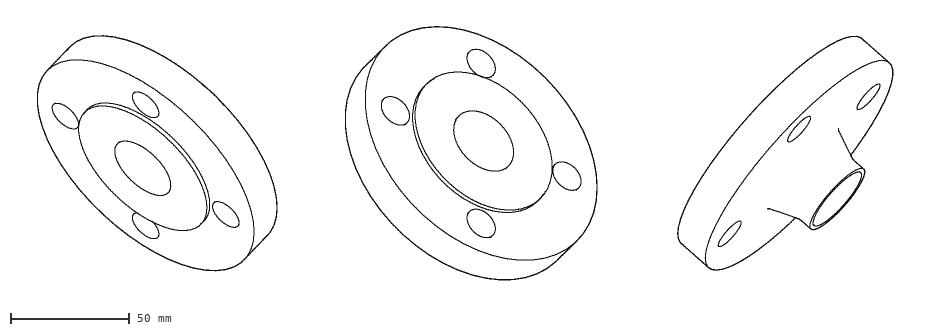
import cadquery as cq
import math

flange_diameter = 115.0
flange_thickness = 16.0
face_diameter = 68.0
face_height = 2.0
total_length = 40.0
bore_diameter = 29.7

hub_base_diameter = 46.0
weld_end_diameter = 33.7
weld_end_length = 6.5
hub_base_fillet = 4.0
hub_top_fillet = 4.0

bolt_circle_diameter = 85.0
bolt_hole_diameter = 14.0
bolt_hole_count = 4

flange_back = face_height + flange_thickness
hub_top = total_length - weld_end_length


def edges_at(radius, height):
    """Select the circular edge of a given radius and position along Y."""
    margin = 0.01
    reach = radius + margin
    return cq.selectors.BoxSelector(
        (-reach, height - margin, -reach), (reach, height + margin, reach), boundingbox=True
    )


def make_body():
    """Revolve the flange, raised face and hub, then blend the hub ends."""
    body = (
        cq.Workplane("XY")
        .lineTo(face_diameter / 2, 0)
        .lineTo(face_diameter / 2, face_height)
        .lineTo(flange_diameter / 2, face_height)
        .lineTo(flange_diameter / 2, flange_back)
        .lineTo(hub_base_diameter / 2, flange_back)
        .lineTo(weld_end_diameter / 2, hub_top)
        .lineTo(weld_end_diameter / 2, total_length)
        .lineTo(0, total_length)
        .close()
        .revolve(360, (0, 0, 0), (0, 1, 0))
    )
    body = body.edges(edges_at(hub_base_diameter / 2, flange_back)).fillet(hub_base_fillet)
    return body.edges(edges_at(weld_end_diameter / 2, hub_top)).fillet(hub_top_fillet)


def cylinder_along_y(diameter, x, z):
    """Cutting cylinder through the whole length at (x, z)."""
    return cq.Workplane(
        cq.Solid.makeCylinder(diameter / 2, total_length, cq.Vector(x, 0, z), cq.Vector(0, 1, 0))
    )


result = make_body().cut(cylinder_along_y(bore_diameter, 0, 0))
for index in range(bolt_hole_count):
    angle = 2 * math.pi * index / bolt_hole_count
    hole_x = bolt_circle_diameter / 2 * math.cos(angle)
    hole_z = bolt_circle_diameter / 2 * math.sin(angle)
    result = result.cut(cylinder_along_y(bolt_hole_diameter, hole_x, hole_z))